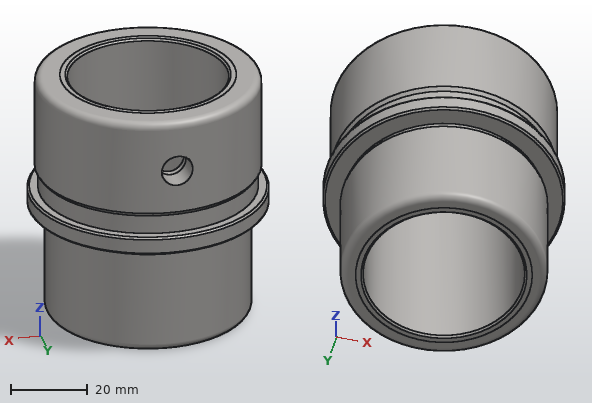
import cadquery as cq
import math

height = 67.0
liner_radius = 23.0
bore_radius = 21.05
bore_chamfer = 0.55

head_radius = 29.55
groove_radius = 28.75
flange_radius = 31.5
spigot_radius = 27.0
neck_inset = 0.75

flange_bottom = 30.0
flange_top = 35.0
groove_top = 40.05
head_bottom = 41.15
neck_height = 2.0
flange_chamfer = 0.55
end_fillet = 2.0

cross_hole_diameter = 8.3
cross_hole_level = 53.0


def cut_cross_hole(body):
    """Drill the radial hole from the axis outward along +Y."""
    drill = (
        cq.Workplane("XZ", origin=(0, 0, cross_hole_level))
        .circle(cross_hole_diameter / 2)
        .extrude(-flange_radius)
    )
    return body.cut(drill)


def make_sleeve():
    """Flanged outer sleeve, turned about Z."""
    neck_radius = spigot_radius - neck_inset
    neck_bottom = flange_bottom - neck_height
    fillet_inset = end_fillet * (1 - math.sqrt(0.5))

    arc_radius = (neck_height**2 + neck_inset**2) / (2 * neck_inset)
    half_angle = math.asin(neck_height / arc_radius) / 2
    neck_mid_radius = neck_radius + arc_radius * (1 - math.cos(half_angle))
    neck_mid_level = flange_bottom - arc_radius * math.sin(half_angle)

    profile = (
        cq.Workplane("XZ")
        .moveTo(liner_radius, 0)
        .lineTo(spigot_radius - end_fillet, 0)
        .threePointArc((spigot_radius - fillet_inset, fillet_inset), (spigot_radius, end_fillet))
        .lineTo(spigot_radius, neck_bottom)
        .threePointArc((neck_mid_radius, neck_mid_level), (neck_radius, flange_bottom))
        .lineTo(flange_radius - flange_chamfer, flange_bottom)
        .lineTo(flange_radius, flange_bottom + flange_chamfer)
        .lineTo(flange_radius, flange_top - flange_chamfer)
        .lineTo(flange_radius - flange_chamfer, flange_top)
        .lineTo(groove_radius, flange_top)
        .lineTo(groove_radius, groove_top)
        .lineTo(head_radius, head_bottom)
        .lineTo(head_radius, height - end_fillet)
        .threePointArc(
            (head_radius - fillet_inset, height - fillet_inset),
            (head_radius - end_fillet, height),
        )
        .lineTo(liner_radius, height)
        .close()
    )
    return cut_cross_hole(profile.revolve(360, (0, 0), (0, 1)))


def make_liner():
    """Plain bush lining the sleeve, with its bore chamfered at both ends."""
    bush = cq.Workplane("XY").circle(liner_radius).circle(bore_radius).extrude(height)
    bush = bush.edges(cq.selectors.RadiusNthSelector(0)).chamfer(bore_chamfer)
    return cut_cross_hole(bush)


sleeve = make_sleeve()
liner = make_liner()
result = cq.Compound.makeCompound([sleeve.solids().val(), liner.solids().val()])